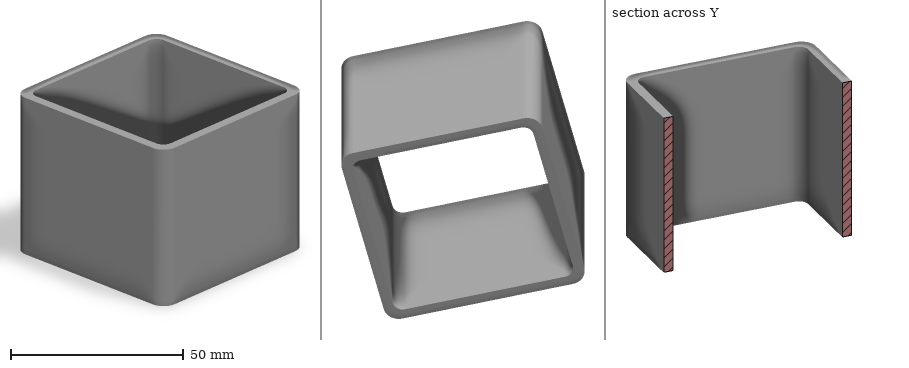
import cadquery as cq

side = 60.0
height = 50.0
wall = 3.0
outer_corner_radius = 4.5
inner_corner_radius = 3.0


def rounded_square_bar(width, corner_radius):
    """Upright square bar with rounded vertical edges, standing on Z = 0."""
    bar = cq.Workplane("XY").rect(width, width).extrude(height)
    return bar.edges("|Z").fillet(corner_radius)


outer_body = rounded_square_bar(side, outer_corner_radius)
through_opening = rounded_square_bar(side - 2 * wall, inner_corner_radius)

result = outer_body.cut(through_opening)